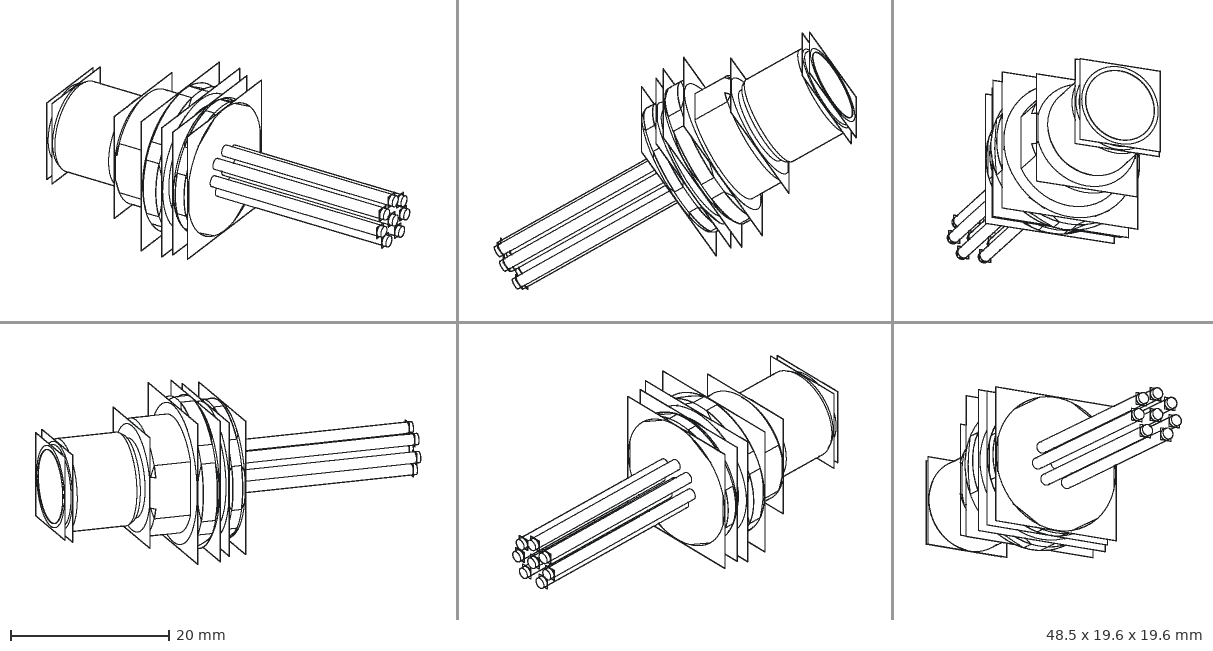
import cadquery as cq
import math

total_length = 48.55

sheet_thickness = 0.05

nose_radius = 5.25
face_recess_radius = 4.7
face_recess_depth = 0.1
nose_plate_side = 11.03
sleeve_start = 0.9
sleeve_end = 10.1
sleeve_radius = 5.95
sleeve_plate_side = 11.55
sleeve_chamfer_length = 0.6
sleeve_chamfer_depth = 0.35
neck_radius = 5.1

body_start = 10.95
body_radius = 7.6
body_across_flats = 13.4
body_end_radius = 6.85
body_chamfer_length = 0.65
body_plate_width = 13.8
body_plate_height = 14.65
body_rim_gap = 4.15

flange_start = 16.45
flange_end = 19.55
flange_across_flats = 18.05
flange_corner_radius = 9.8
flange_end_radius = 9.0
flange_plate_side = 18.6
flange_chamfer_length = 0.6

nut_start = 20.9
nut_end = 23.1
nut_across_flats = 17.0
nut_corner_radius = 9.0
nut_end_radius = 8.75
nut_plate_side = 17.7
nut_chamfer_length = 0.45

seal_edge_radius = 7.65
seal_crown_radius = 7.9

wire_radius = 0.75
wire_circle_radius = 2.75
wire_pitch_angle = 49
ring_wire_pairs = 3
wire_tip_length = 0.6
wire_plate_side = 1.55


def cylinder(start, end, radius):
    return cq.Workplane("YZ", origin=(start, 0, 0)).circle(radius).extrude(end - start)


def plate(x, width, height):
    """Thin rectangular plate centred on the axis, its middle plane at x."""
    return cq.Workplane("XY").box(sheet_thickness, width, height).translate((x, 0, 0))


def revolve_profile(points):
    """Solid of revolution about X from (x, radius) points."""
    return cq.Workplane("XY").polyline(points).close().revolve(360, (0, 0, 0), (1, 0, 0))


def chamfered_cylinder(start, end, radius, end_radius, chamfer_length, chamfer_back=True):
    points = [(start, 0), (start, end_radius), (start + chamfer_length, radius)]
    if chamfer_back:
        points += [(end - chamfer_length, radius), (end, end_radius)]
    else:
        points.append((end, radius))
    points.append((end, 0))
    return revolve_profile(points)


def chamfer_rim(end_x, end_radius, inner_x, inner_radius):
    """Thin cone that carries an end chamfer right round, past the flats."""
    inward = math.copysign(sheet_thickness, inner_x - end_x)
    return revolve_profile([
        (end_x, 0),
        (end_x, end_radius),
        (inner_x, inner_radius),
        (inner_x + inward, inner_radius),
        (end_x + inward, end_radius),
        (end_x + inward, 0),
    ])


def hex_ring(start, end, across_flats, corner_radius, end_radius, chamfer_length, plate_side):
    """Hexagon with two flats facing +-Y, rounded corners, chamfer rims and square end plates."""
    hexagon = (
        cq.Workplane("YZ", origin=(start, 0, 0))
        .transformed(rotate=(0, 0, 90))
        .polygon(6, across_flats / math.cos(math.pi / 6))
        .extrude(end - start)
    )
    ring = hexagon.intersect(
        chamfered_cylinder(start, end, corner_radius, end_radius, chamfer_length)
    )
    for end_x, inward in ((start, 1), (end, -1)):
        inner_x = end_x + inward * chamfer_length
        ring = ring.union(chamfer_rim(end_x, end_radius, inner_x, corner_radius))
        ring = ring.union(plate(end_x + inward * sheet_thickness / 2, plate_side, plate_side))
    return ring


def make_mating_end():
    nose = cylinder(0, sleeve_start, nose_radius)
    sleeve = chamfered_cylinder(
        sleeve_start, sleeve_end, sleeve_radius,
        sleeve_radius - sleeve_chamfer_depth, sleeve_chamfer_length,
    )
    neck = cylinder(sleeve_end, body_start, neck_radius)
    nose_plate = plate(sheet_thickness / 2, nose_plate_side, nose_plate_side)
    sleeve_plate = plate(sleeve_start + sheet_thickness / 2, sleeve_plate_side, sleeve_plate_side)
    recess = cylinder(0, face_recess_depth, face_recess_radius)
    return nose.union(sleeve).union(neck).union(nose_plate).union(sleeve_plate).cut(recess)


def make_body():
    body = chamfered_cylinder(
        body_start, flange_start, body_radius, body_end_radius, body_chamfer_length,
        chamfer_back=False,
    )
    length = flange_start - body_start
    flats = (
        cq.Workplane("XY")
        .box(length, body_across_flats, 2 * body_radius)
        .translate((body_start + length / 2, 0, 0))
    )
    rim = chamfer_rim(
        body_start, body_end_radius, body_start + body_chamfer_length, body_radius
    )
    rim_gap = (
        cq.Workplane("XY")
        .box(2 * body_chamfer_length, 2 * body_radius, body_rim_gap)
        .translate((body_start + body_chamfer_length, 0, 0))
    )
    rim = rim.cut(rim_gap)
    end_plate = plate(body_start + sheet_thickness / 2, body_plate_width, body_plate_height)
    return body.intersect(flats).union(rim).union(end_plate)


def make_seal():
    middle = (flange_end + nut_start) / 2
    return (
        cq.Workplane("XY")
        .moveTo(flange_end, 0)
        .lineTo(flange_end, seal_edge_radius)
        .threePointArc((middle, seal_crown_radius), (nut_start, seal_edge_radius))
        .lineTo(nut_start, 0)
        .close()
        .revolve(360, (0, 0, 0), (1, 0, 0))
    )


def make_wires():
    centres = [(0, 0)]
    for i in range(-ring_wire_pairs, ring_wire_pairs + 1):
        angle = math.radians(i * wire_pitch_angle)
        centres.append((wire_circle_radius * math.sin(angle), wire_circle_radius * math.cos(angle)))
    wire = cylinder(nut_end, total_length, wire_radius).union(
        plate(total_length - wire_tip_length, wire_plate_side, wire_plate_side)
    )
    wires = cq.Workplane("XY")
    for y, z in centres:
        wires = wires.union(wire.translate((0, y, z)))
    return wires


flange = hex_ring(
    flange_start, flange_end, flange_across_flats,
    flange_corner_radius, flange_end_radius, flange_chamfer_length, flange_plate_side,
)
lock_nut = hex_ring(
    nut_start, nut_end, nut_across_flats,
    nut_corner_radius, nut_end_radius, nut_chamfer_length, nut_plate_side,
)
result = (
    make_mating_end()
    .union(make_body())
    .union(flange)
    .union(make_seal())
    .union(lock_nut)
    .union(make_wires())
)